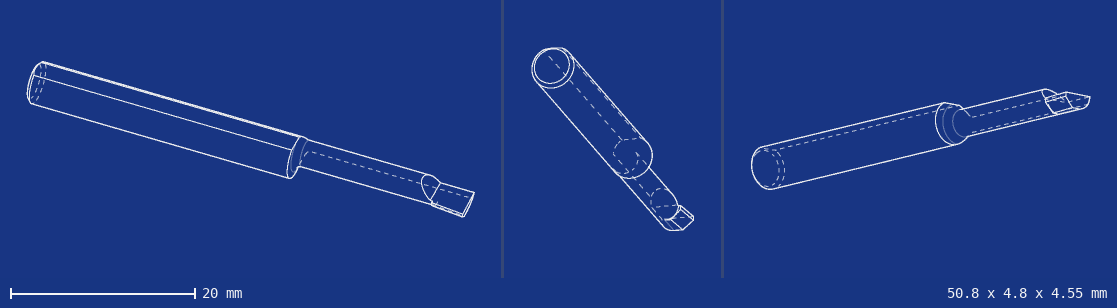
import cadquery as cq

length = 50.8
shank_radius = 2.4
shank_length = 30.7
flat_height = 2.15
rear_chamfer = 0.4

neck_radius = 1.5
neck_offset = 0.95
neck_fillet = 0.75

rake_face_height = 0.0
rake_face_start = 46.75
head_start = 47.0
head_root_y = -0.8
tip_y = -1.15
land_height = 0.45
relief_inset = 1.1
end_relief = 0.25
end_skew = 0.1


def space_below_flat():
    """Block that reaches up to the clamping flat over the whole length."""
    diameter = 2 * shank_radius
    return (
        cq.Workplane("XY", origin=(0, 0, -shank_radius))
        .rect(2 * length, diameter)
        .extrude(shank_radius + flat_height)
    )


def make_shank():
    """Chamfered round shank with a clamping flat along its top."""
    shank = cq.Workplane("YZ").circle(shank_radius).extrude(shank_length)
    shank = shank.faces("<X").chamfer(rear_chamfer)
    return shank.intersect(space_below_flat())


def make_neck():
    """Offset round neck with a concave root fillet, trimmed to the shank outline."""
    root_end = shank_length + neck_fillet
    fillet_bulge = neck_fillet * (1 - 0.5 ** 0.5)
    neck = (
        cq.Workplane("XY")
        .moveTo(shank_length, 0)
        .lineTo(shank_length, neck_radius + neck_fillet)
        .threePointArc(
            (shank_length + fillet_bulge, neck_radius + fillet_bulge),
            (root_end, neck_radius),
        )
        .lineTo(length, neck_radius)
        .lineTo(length, 0)
        .close()
        .revolve(360, (0, 0, 0), (1, 0, 0))
        .translate((0, neck_offset, 0))
    )
    envelope = cq.Workplane("YZ").circle(shank_radius).extrude(length)
    return neck.intersect(envelope).intersect(space_below_flat())


def head_outline(height, inset):
    """Plan outline of the cutting edge block, moved inwards on its front side."""
    return (
        cq.Workplane("XY", origin=(0, 0, height))
        .moveTo(head_start, neck_offset)
        .lineTo(head_start, head_root_y + inset)
        .lineTo(length, tip_y + inset)
        .lineTo(length, neck_offset)
        .close()
    )


def make_cutting_edge():
    """Protruding edge: an upright land above a relief that recedes downwards."""
    land_bottom = rake_face_height - land_height
    land = head_outline(land_bottom, 0).extrude(land_height)
    upper_wire = head_outline(land_bottom, 0).val()
    lower_wire = head_outline(-neck_radius, relief_inset).val()
    relief = cq.Workplane(cq.Solid.makeLoft([upper_wire, lower_wire], True))
    return land.union(relief)


def make_rake_cut():
    """Opening above the rake face, entered by a 45 degree slope."""
    rise = shank_radius
    return (
        cq.Workplane("XZ")
        .moveTo(rake_face_start, rake_face_height)
        .lineTo(rake_face_start - rise, rake_face_height + rise)
        .lineTo(length, rake_face_height + rise)
        .lineTo(length, rake_face_height)
        .close()
        .extrude(shank_radius, both=True)
    )


def make_end_cut():
    """End clearance: leans back downwards and away from the tip."""
    def end_edge(height, relief):
        return (
            cq.Workplane("XY", origin=(0, 0, height))
            .moveTo(length - relief, tip_y)
            .lineTo(length - relief - end_skew, shank_radius)
            .lineTo(length + shank_radius, shank_radius)
            .lineTo(length + shank_radius, tip_y)
            .close()
            .val()
        )

    upper_wire = end_edge(rake_face_height, 0)
    lower_wire = end_edge(-neck_radius, end_relief)
    return cq.Workplane(cq.Solid.makeLoft([upper_wire, lower_wire], True))


tool = make_shank().union(make_neck()).union(make_cutting_edge())
result = tool.cut(make_rake_cut()).cut(make_end_cut())